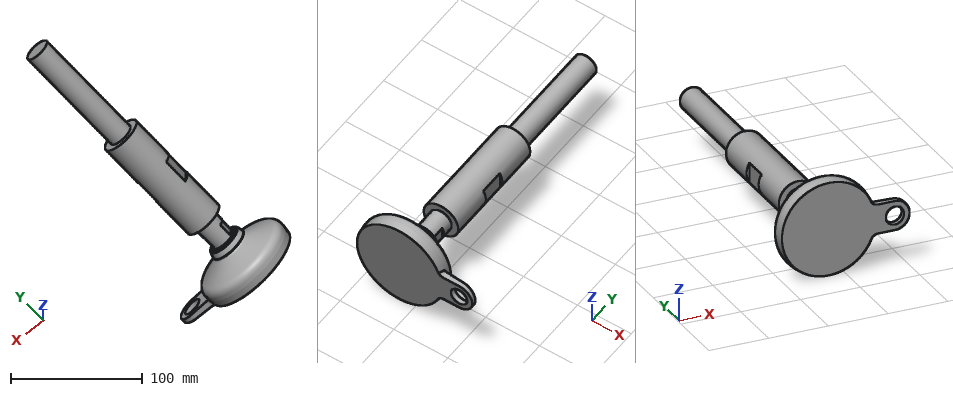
import cadquery as cq
import math


FOOT_DIAMETER = 80.0
FOOT_RADIUS = FOOT_DIAMETER / 2
BOTTOM_RADIUS = 39.2
RIM_BOTTOM = 6.5
RIM_TOP = 9.4
SHOULDER_RADIUS = 7.1
CONE_ANGLE = 22.5

NECK_GROOVE_RADIUS = 14.8
CONE_ROUND_RADIUS = 2.7
NECK_GROOVE_TOP = 26.4
NECK_RADIUS = 15.5
NECK_TOP_RADIUS = 13.8
NECK_TOP = 31.8
NECK_BULGE = 0.2
LIP_RADIUS = 11.8
LIP_TOP = 32.5

LUG_WIDTH = 24.6
LUG_HOLE_DIAMETER = 15.0
LUG_HOLE_X = 55.5
LUG_BLEND_RADIUS = 5.5
LUG_SLOPE_START_X = 34.5
LUG_TIP_HEIGHT = 4.2

TOTAL_LENGTH = 246.5
ROD_DIAMETER = 20.0
ROD_FLAT_BOTTOM = 33.8
ROD_FLAT_LENGTH = 11.3
ROD_ACROSS_FLATS = 16.5
SLEEVE_DIAMETER = 32.0
SLEEVE_BOTTOM = 55.2
SLEEVE_LENGTH = 95.1
SLEEVE_FLAT_BOTTOM = 91.7
SLEEVE_FLAT_LENGTH = 21.7
SLEEVE_ACROSS_FLATS = 27.4


def cylinder(diameter, bottom, length):
    """Cylinder along +Y starting at height bottom."""
    plane = cq.Plane(origin=(0, bottom, 0), xDir=(1, 0, 0), normal=(0, 1, 0))
    return cq.Workplane(plane).circle(diameter / 2).extrude(length)


def foot_disc():
    """Revolved foot: tapered edge, rim, round shoulder, cone and grooved neck."""
    slope = math.radians(CONE_ANGLE)
    arc_x = FOOT_RADIUS - SHOULDER_RADIUS

    def shoulder_point(angle):
        return (arc_x + SHOULDER_RADIUS * math.cos(angle), RIM_TOP + SHOULDER_RADIUS * math.sin(angle))

    cone_direction = math.pi / 2 - slope
    cone_start = shoulder_point(cone_direction)

    hollow_x = NECK_GROOVE_RADIUS + CONE_ROUND_RADIUS
    cone_top_x = hollow_x - CONE_ROUND_RADIUS * math.sin(slope)
    cone_top_y = cone_start[1] + (cone_start[0] - cone_top_x) * math.tan(slope)
    hollow_y = cone_top_y + CONE_ROUND_RADIUS * math.cos(slope)
    hollow_middle_angle = math.pi + cone_direction / 2
    hollow_middle = (
        hollow_x + CONE_ROUND_RADIUS * math.cos(hollow_middle_angle),
        hollow_y + CONE_ROUND_RADIUS * math.sin(hollow_middle_angle),
    )
    neck_middle = (
        (NECK_RADIUS + NECK_TOP_RADIUS) / 2 + NECK_BULGE,
        (NECK_GROOVE_TOP + NECK_TOP) / 2,
    )
    return (
        cq.Workplane("XY")
        .lineTo(BOTTOM_RADIUS, 0)
        .lineTo(FOOT_RADIUS, RIM_BOTTOM)
        .lineTo(FOOT_RADIUS, RIM_TOP)
        .threePointArc(shoulder_point(cone_direction / 2), cone_start)
        .lineTo(cone_top_x, cone_top_y)
        .threePointArc(hollow_middle, (NECK_GROOVE_RADIUS, hollow_y))
        .lineTo(NECK_GROOVE_RADIUS, NECK_GROOVE_TOP)
        .lineTo(NECK_RADIUS, NECK_GROOVE_TOP)
        .threePointArc(neck_middle, (NECK_TOP_RADIUS, NECK_TOP))
        .lineTo(LIP_RADIUS, NECK_TOP)
        .lineTo(LIP_RADIUS, LIP_TOP)
        .lineTo(0, LIP_TOP)
        .close()
        .revolve(360, (0, 0, 0), (0, 1, 0))
    )


def lug():
    """Round-ended lug that blends into the foot and thins toward its tip."""
    half = LUG_WIDTH / 2
    tip_x = LUG_HOLE_X + half

    blend_z = half + LUG_BLEND_RADIUS
    blend_x = math.sqrt((BOTTOM_RADIUS + LUG_BLEND_RADIUS) ** 2 - blend_z**2)
    foot_angle = math.atan2(blend_z, blend_x)
    root = (BOTTOM_RADIUS * math.cos(foot_angle), BOTTOM_RADIUS * math.sin(foot_angle))
    middle_angle = (foot_angle + math.pi + 1.5 * math.pi) / 2
    blend_middle = (
        blend_x + LUG_BLEND_RADIUS * math.cos(middle_angle),
        blend_z + LUG_BLEND_RADIUS * math.sin(middle_angle),
    )

    outline = (
        cq.Workplane("XZ")
        .moveTo(*root)
        .threePointArc(blend_middle, (blend_x, half))
        .lineTo(LUG_HOLE_X, half)
        .threePointArc((tip_x, 0), (LUG_HOLE_X, -half))
        .lineTo(blend_x, -half)
        .threePointArc((blend_middle[0], -blend_middle[1]), (root[0], -root[1]))
        .close()
        .extrude(-RIM_BOTTOM)
    )
    side_profile = (
        cq.Workplane("XY")
        .lineTo(tip_x, 0)
        .lineTo(tip_x, LUG_TIP_HEIGHT)
        .lineTo(LUG_SLOPE_START_X, RIM_BOTTOM)
        .lineTo(0, RIM_BOTTOM)
        .close()
        .extrude(2 * root[1], both=True)
    )
    hole = cylinder(LUG_HOLE_DIAMETER, 0, RIM_BOTTOM).translate((LUG_HOLE_X, 0, 0))
    return outline.intersect(side_profile).cut(hole)


def cut_flats(body, diameter, across, bottom, length):
    """Cut two opposite wrench flats, facing -X and +X."""
    depth = (diameter - across) / 2
    for side in (-1, 1):
        cutter = cq.Workplane("XY").box(depth, length, diameter)
        body = body.cut(cutter.translate((side * (across + depth) / 2, bottom + length / 2, 0)))
    return body


def make_foot():
    return foot_disc().union(lug())


def make_spindle():
    """Rod standing on the foot's lip, with a thicker sleeve part way up."""
    rod = cylinder(ROD_DIAMETER, LIP_TOP, TOTAL_LENGTH - LIP_TOP)
    rod = cut_flats(rod, ROD_DIAMETER, ROD_ACROSS_FLATS, ROD_FLAT_BOTTOM, ROD_FLAT_LENGTH)
    sleeve = cylinder(SLEEVE_DIAMETER, SLEEVE_BOTTOM, SLEEVE_LENGTH)
    sleeve = cut_flats(
        sleeve, SLEEVE_DIAMETER, SLEEVE_ACROSS_FLATS, SLEEVE_FLAT_BOTTOM, SLEEVE_FLAT_LENGTH
    )
    return rod.union(sleeve)


foot = make_foot()
spindle = make_spindle()
result = cq.Compound.makeCompound([foot.solids().val(), spindle.solids().val()])